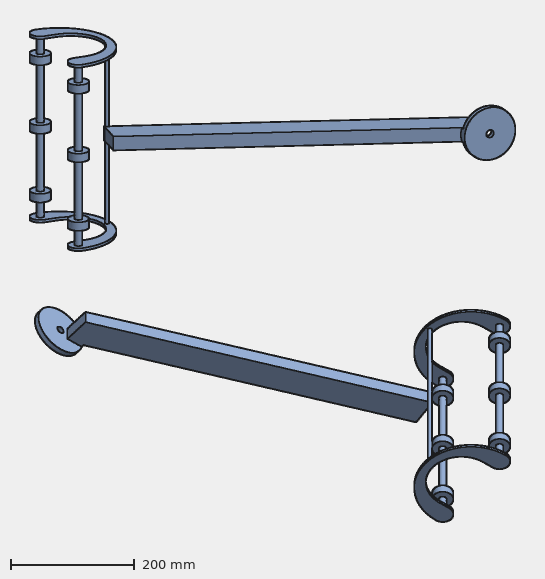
import cadquery as cq
import math

frame_height = 320.0
plate_thickness = 5.0
plate_outer_radius = 92.0
prong_width = 35.0
back_band_width = 15.0
roller_rod_diameter = 13.0
back_rod_diameter = 7.0
back_rod_y = 84.5
collar_diameter = prong_width
collar_height = 15.0
collar_spacing = 118.0

rod_length = frame_height - 2 * plate_thickness
prong_radius = prong_width / 2
prong_x = plate_outer_radius - prong_radius
inner_radius = plate_outer_radius - prong_width
inner_center_y = plate_outer_radius - back_band_width - inner_radius

overall_x = 351.0
overall_y = 710.0
disc_diameter = 90.0
disc_thickness = 10.0
disc_hole_diameter = 13.0
disc_outer_x = overall_x - plate_outer_radius
disc_inner_x = disc_outer_x - disc_thickness
disc_y = overall_y - prong_radius - disc_diameter / 2
disc_bottom_y = disc_y - disc_diameter / 2

arm_height = 24.0
arm_width = 50.5
arm_lean = math.radians(20)
arm_top_y = 633.0
arm_top_left_x = 201.0
arm_end_left_y = 79.5
arm_end_right_y = 73.0


def rod(diameter, height, x, y, z=0):
    """Upright cylinder centered on (x, y, z)."""
    return cq.Workplane("XY", origin=(x, y, z - height / 2)).circle(diameter / 2).extrude(height)


def horseshoe_plate(bottom_z):
    return (
        cq.Workplane("XY", origin=(0, 0, bottom_z))
        .moveTo(-plate_outer_radius, 0)
        .threePointArc((0, plate_outer_radius), (plate_outer_radius, 0))
        .threePointArc((prong_x, -prong_radius), (inner_radius, 0))
        .lineTo(inner_radius, inner_center_y)
        .threePointArc((0, inner_center_y + inner_radius), (-inner_radius, inner_center_y))
        .lineTo(-inner_radius, 0)
        .threePointArc((-prong_x, -prong_radius), (-plate_outer_radius, 0))
        .close()
        .extrude(plate_thickness)
    )


def back_rod():
    return rod(back_rod_diameter, rod_length, 0, back_rod_y)


def make_frame():
    body = horseshoe_plate(-frame_height / 2)
    body = body.union(horseshoe_plate(frame_height / 2 - plate_thickness))
    body = body.union(back_rod())
    for x in (-prong_x, prong_x):
        body = body.union(rod(roller_rod_diameter, rod_length, x, 0))
        for z in (-collar_spacing, 0, collar_spacing):
            body = body.union(rod(collar_diameter, collar_height, x, 0, z))
    return body


def arm_left_x(y):
    """X of the arm's left side at the given Y."""
    return arm_top_left_x - (arm_top_y - y) * math.tan(arm_lean)


def arm_right_x(y):
    """X of the arm's right side at the given Y."""
    return arm_left_x(y) + arm_width / math.cos(arm_lean)


def arm_right_y(x):
    """Y of the arm's right side at the given X."""
    return arm_top_y + (x - arm_right_x(arm_top_y)) / math.tan(arm_lean)


def arm_slab(outline):
    """Closed outline extruded to the arm height, centered on Z = 0."""
    return cq.Workplane("XY", origin=(0, 0, -arm_height / 2)).polyline(outline).close().extrude(arm_height)


def arm_bar():
    return arm_slab([
        (arm_top_left_x, arm_top_y),
        (disc_inner_x, arm_top_y),
        (disc_inner_x, arm_right_y(disc_inner_x)),
        (arm_right_x(arm_end_right_y), arm_end_right_y),
        (arm_left_x(arm_end_left_y), arm_end_left_y),
    ])


def arm_foot():
    """Wedge between the arm's right side and the disc, rounded below to follow the disc's rim."""
    foot_tip_x = arm_right_x(disc_bottom_y)
    wedge = arm_slab([
        (disc_inner_x, arm_right_y(disc_inner_x)),
        (foot_tip_x, disc_bottom_y),
        (disc_inner_x, disc_bottom_y),
    ])
    rim = (
        cq.Workplane("YZ", origin=(foot_tip_x, disc_y, 0))
        .circle(disc_diameter / 2)
        .extrude(disc_inner_x - foot_tip_x)
    )
    return wedge.intersect(rim)


def wall_disc():
    return (
        cq.Workplane("YZ", origin=(disc_inner_x, disc_y, 0))
        .circle(disc_diameter / 2)
        .circle(disc_hole_diameter / 2)
        .extrude(disc_thickness)
    )


def make_arm():
    return arm_bar().union(arm_foot()).union(wall_disc()).cut(back_rod()).clean()


frame = make_frame()
arm = make_arm()

result = cq.Compound.makeCompound([frame.val(), arm.val()])